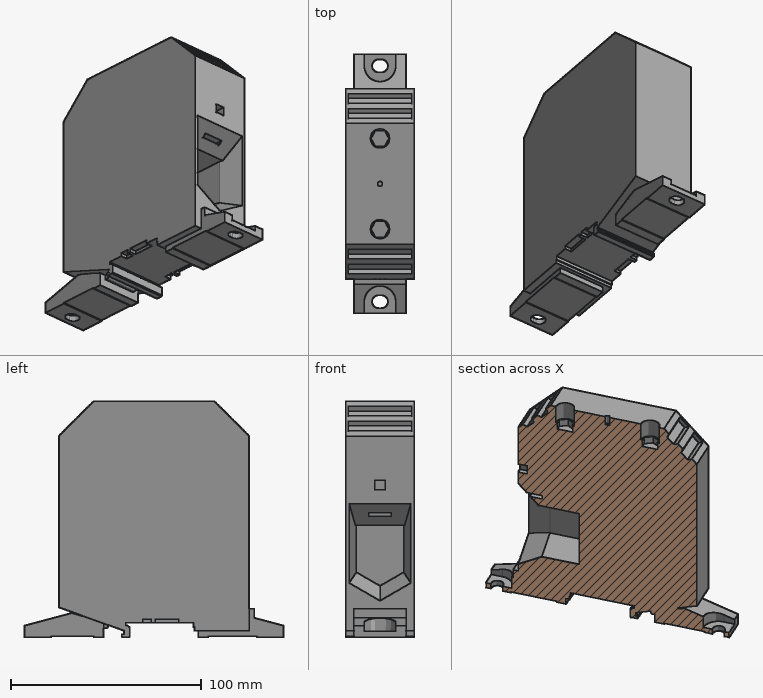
import cadquery as cq
import math

width = 36.0
length = 100.0
height = 124.0
end_y = length / 2
chamfer = 18.3
belly_z = 3.4
slope_top_z = 15.75

seat_z = 7.6
seat_front_y = -20.7
seat_lip_y = -21.2
seat_lip_z = 5.4
seat_rear_y = 14.8
hook_shoulder_y = 14.0
hook_shoulder_z = 6.3
hook_front_y = 12.6
hook_tip_z = 5.2
hook_neck_y = 15.8
hook_neck_z = 3.5
hook_toe_y = 17.0
hook_toe_z = 1.7
hook_bevel = 0.5
notch_height = 1.9
notch_depth = 4.0
notch_spans = ((1.4, 6.0), (-13.0, -0.6))

groove_length = 33.3
groove_width = 7.1
groove_depth = 2.4
groove_wall_draft = math.radians(23.6)
groove_pitch = 11.1

screw_hole_diameter = 10.0
screw_hole_depth = 10.0
screw_spacing = 47.6
socket_sides = 6
socket_across_flats = 8.3
socket_depth = 4.0
lamp_hole_diameter = 2.5
lamp_hole_depth = 5.0

window_width = 5.3
window_height = 4.8
window_center_z = 80.0
window_depth = 5.0
funnel_depth = 13.3
pocket_depth = 34.0
pocket_v_angle = math.radians(30)
mouth_half_width = 16.2
mouth_top_z = 70.3
mouth_corner_z = 28.6
throat_half_width = 12.4
throat_top_z = 58.9
throat_corner_z = 34.2
slit_width = 11.7
slit_bottom_z = 63.7
slit_height = 1.8

foot_width = 27.5
foot_end_y = 136.1 / 2
foot_end_z = 6.2
foot_slope = math.tan(math.radians(15))
front_foot_inner_y = 23.2
front_foot_step_y = 52.7
front_foot_top_z = 15.1
foot_root_length = 5.0
rear_foot_inner_y = 26.4
rear_foot_peak_y = 43.1
rear_tab_width = 20.0
rear_tab_length = 2.3
rear_tab_radius = 1.2
rear_tab_z = 4.8
rear_tab_top_z = 8.0
bolt_y = 61.9
bolt_slot_length = 8.2
bolt_slot_width = 6.6
bolt_seat_diameter = 16.5
bolt_seat_z = 3.3
relief_height = 0.5
relief_inset = 5.3
relief_outer_y = 54.0


def box(x_size, y_min, y_max, z_min, z_max):
    """Box centred on X between the given Y and Z limits."""
    return cq.Workplane("XY", origin=(0, y_min, z_min)).box(
        x_size, y_max - y_min, z_max - z_min, centered=(True, False, False)
    )


def side_extrusion(points, x_size):
    """Closed (Y, Z) outline extruded symmetrically along X."""
    return cq.Workplane("YZ").polyline(points).close().extrude(x_size / 2, both=True)


def make_housing():
    outline = [
        (-end_y, belly_z),
        (-end_y, height - chamfer),
        (-end_y + chamfer, height),
        (end_y - chamfer, height),
        (end_y, height - chamfer),
        (end_y, slope_top_z),
        (hook_neck_y, hook_neck_z),
        (hook_neck_y, hook_toe_z),
        (hook_toe_y, hook_toe_z),
        (hook_toe_y, hook_bevel),
        (hook_toe_y - hook_bevel, 0),
        (hook_front_y + hook_bevel, 0),
        (hook_front_y, hook_bevel),
        (hook_front_y, hook_tip_z),
        (hook_shoulder_y, hook_shoulder_z),
        (seat_rear_y, hook_shoulder_z),
        (seat_rear_y, seat_z),
        (seat_front_y, seat_z),
        (seat_front_y, seat_lip_z),
        (seat_lip_y, seat_lip_z),
        (seat_lip_y, belly_z),
    ]
    return side_extrusion(outline, width)


def make_seat_notches():
    """Shallow notches above the rail seat, open to both side faces."""
    notches = cq.Workplane("XY")
    for y_min, y_max in notch_spans:
        span = box(width, y_min, y_max, seat_z, seat_z + notch_height)
        core = box(width - 2 * notch_depth, y_min, y_max, seat_z, seat_z + notch_height)
        notches = notches.union(span.cut(core))
    return notches


def make_chamfer_grooves(side):
    """Two trapezoidal grooves in a chamfer; side is -1 for the front, +1 for the rear."""
    mouth_half = groove_width / 2
    floor_half = mouth_half - groove_depth * math.tan(groove_wall_draft)
    plane = cq.Plane(
        origin=(0, side * (end_y - chamfer / 2), height - chamfer / 2),
        xDir=(0, 1, -side),
        normal=(1, 0, 0),
    )
    grooves = cq.Workplane(plane)
    for offset in (-groove_pitch / 2, groove_pitch / 2):
        grooves = grooves.polyline(
            [
                (offset - mouth_half, 0),
                (offset + mouth_half, 0),
                (offset + floor_half, -groove_depth),
                (offset - floor_half, -groove_depth),
            ]
        ).close()
    return grooves.extrude(groove_length / 2, both=True)


def cut_top_holes(body):
    top = cq.Workplane("XY", origin=(0, 0, height))
    screw_points = [(0, -screw_spacing / 2), (0, screw_spacing / 2)]
    socket_diameter = socket_across_flats / math.cos(math.pi / socket_sides)
    screw_holes = top.pushPoints(screw_points).circle(screw_hole_diameter / 2).extrude(-screw_hole_depth)
    sockets = (
        top.workplane(offset=-screw_hole_depth)
        .pushPoints(screw_points)
        .polygon(socket_sides, socket_diameter)
        .extrude(-socket_depth)
    )
    lamp_hole = top.circle(lamp_hole_diameter / 2).extrude(-lamp_hole_depth)
    return body.cut(screw_holes).cut(sockets).cut(lamp_hole)


def pocket_outline(half_width, top_z, corner_z):
    """Rectangle with a V-shaped lower end, as (X, Z) points."""
    tip_z = corner_z - half_width * math.tan(pocket_v_angle)
    return [
        (-half_width, top_z),
        (half_width, top_z),
        (half_width, corner_z),
        (0, tip_z),
        (-half_width, corner_z),
    ]


def make_cable_pocket():
    """Funnel narrowing to a straight throat, its ceiling falling at 45 degrees, then level."""
    mouth = pocket_outline(mouth_half_width, mouth_top_z, mouth_corner_z)
    throat = pocket_outline(throat_half_width, mouth_top_z, throat_corner_z)
    funnel = (
        cq.Workplane("XZ", origin=(0, -end_y, 0))
        .polyline(mouth)
        .close()
        .workplane(offset=-funnel_depth)
        .polyline(throat)
        .close()
        .loft(ruled=True)
    )
    straight_throat = (
        cq.Workplane("XZ", origin=(0, -end_y + funnel_depth, 0))
        .polyline(throat)
        .close()
        .extrude(funnel_depth - pocket_depth)
    )
    ceiling_run = mouth_top_z - throat_top_z
    below_ceiling = [
        (-end_y, 0),
        (-end_y, mouth_top_z),
        (-end_y + ceiling_run, throat_top_z),
        (-end_y + pocket_depth, throat_top_z),
        (-end_y + pocket_depth, 0),
    ]
    return funnel.union(straight_throat).intersect(side_extrusion(below_ceiling, width))


def cut_front_face(body):
    window = box(
        window_width,
        -end_y,
        -end_y + window_depth,
        window_center_z - window_height / 2,
        window_center_z + window_height / 2,
    )
    slit_top_z = slit_bottom_z + slit_height
    slit = box(slit_width, -end_y, -end_y + funnel_depth, slit_bottom_z, slit_top_z)
    return body.cut(window).cut(make_cable_pocket()).cut(slit)


def make_front_foot():
    step_z = foot_end_z + (foot_end_y - front_foot_step_y) * foot_slope
    outline = [
        (-front_foot_inner_y, 0),
        (-foot_end_y, 0),
        (-foot_end_y, foot_end_z),
        (-front_foot_step_y, step_z),
        (-front_foot_step_y, front_foot_top_z),
        (-end_y + foot_root_length, front_foot_top_z),
        (-end_y + foot_root_length, belly_z),
        (-front_foot_inner_y, belly_z),
    ]
    return side_extrusion(outline, foot_width)


def make_rear_foot():
    peak_z = foot_end_z + (foot_end_y - rear_foot_peak_y) * foot_slope
    outline = [
        (rear_foot_inner_y, 0),
        (foot_end_y, 0),
        (foot_end_y, foot_end_z),
        (rear_foot_peak_y, peak_z),
        (rear_foot_inner_y, rear_tab_top_z),
    ]
    tab_end_y = rear_foot_inner_y - rear_tab_length
    tab = box(rear_tab_width, tab_end_y, rear_foot_inner_y, rear_tab_z, rear_tab_top_z)
    tab = tab.edges("<Y and <Z").fillet(rear_tab_radius)
    return side_extrusion(outline, foot_width).union(tab)


def cut_foot(body, side, inner_y):
    """Bolt slot, bolt-head seat open at the foot's end and relief under the sole."""
    slot = (
        cq.Workplane("XY", origin=(0, side * bolt_y, 0))
        .slot2D(bolt_slot_length, bolt_slot_width)
        .extrude(bolt_seat_z)
    )
    seat = (
        cq.Workplane("XY", origin=(0, side * bolt_y, bolt_seat_z))
        .circle(bolt_seat_diameter / 2)
        .extrude(front_foot_top_z - bolt_seat_z)
    )
    y_limits = sorted((side * bolt_y, side * foot_end_y))
    opening = box(bolt_seat_diameter, *y_limits, bolt_seat_z, front_foot_top_z)
    relief_limits = sorted((side * (inner_y + relief_inset), side * relief_outer_y))
    relief = box(foot_width, *relief_limits, 0, relief_height)
    return body.cut(slot).cut(seat).cut(opening).cut(relief)


result = make_housing().union(make_front_foot()).union(make_rear_foot())
result = result.cut(make_seat_notches())
result = cut_top_holes(result)
result = cut_front_face(result)
for side, inner_y in ((-1, front_foot_inner_y), (1, rear_foot_inner_y)):
    result = result.cut(make_chamfer_grooves(side))
    result = cut_foot(result, side, inner_y)